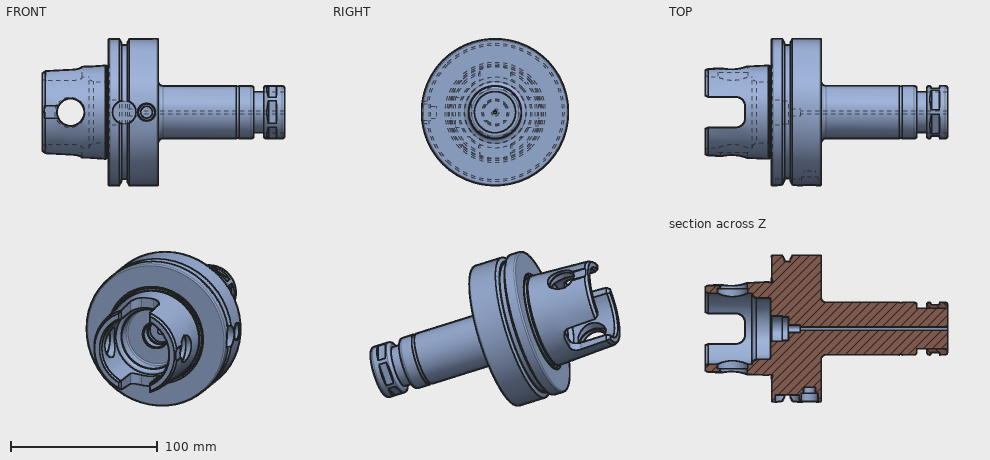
import cadquery as cq
import math


taper_length = 45.0
gauge_radius = 32.0
taper_slope = 1 / 20
taper_end_radius = gauge_radius - taper_slope * taper_length
nose_chamfer_length = 2.2
nose_chamfer_height = 1.1
root_land_width = 2.2
root_bevel = 1.0
root_radius = 31.5
relief_mouth_radius = 34.2
relief_floor_radius = 32.9
relief_depth = 0.6

flange_radius = 50.0
flange_length = 34.0
flange_edge_fillet = 1.0
groove_floor_radius = 45.8
groove_floor_start = 9.0
groove_floor_end = 12.7
groove_wall_radius = 47.0
groove_slant = 1.6

shank_radius = 18.0
shank_root_fillet = 3.0
shank_end = 99.0
shank_end_fillet = 2.0
ring_groove_start = 87.0
ring_groove_width = 2.0
ring_groove_depth = 0.3
neck_radius = 14.0
part_end = 120.0

mouth_radius = 25.1
bore_radius = 24.1
mouth_chamfer_length = 2.0
bore_end = -13.2
lip_fillet = 2.9
lip_step = 0.4
inner_bore_radius = bore_radius - lip_fillet - lip_step
cavity_floor = -0.5
cavity_fillet = 1.0

thread_mouth_diameter = 18.5
thread_diameter = 17.0
thread_depth = 8.0
tube_seat_diameter = 15.8
tube_seat_depth = 12.0
feed_diameter = 5.0
feed_depth = 20.0
jet_diameter = 2.0

slot_width = 20.5
slot_depth = 27.0
slot_corner_radius = 6.0
slot_mouth_chamfer_width = 1.0
slot_mouth_chamfer_length = 2.4

access_diameter = 18.5
access_x = -25.7
access_inner_diameter = 20.5
access_inner_x = -26.4
access_step_y = 27.2
marker_width = 8.5
marker_floor_y = 29.3

seat_diameter = 16.0
seat_x = 10.8
seat_floor_y = 45.2
screw_mouth_diameter = 12.0
screw_diameter = 11.2
screw_tip_diameter = 8.0
screw_x = 26.0
screw_depth = 6.0
screw_tip_depth = 10.0

nut_start = 105.6
nut_radius = 18.0
nut_fillet = 2.0
nut_flat_count = 6
nut_flat_distance = 16.3
nut_flat_start = 109.0
nut_flat_end = 114.2
nut_flat_start_slant = 1.2
nut_flat_end_slant = 0.4


def turned(profile):
    """Revolve a closed (x, radius) profile about the X axis."""
    return profile.close().revolve(360, (0, 0, 0), (1, 0, 0))


def cylinder_x(diameter, start, end):
    """Cylinder on the X axis between two X places."""
    return cq.Workplane("YZ", origin=(start, 0, 0)).circle(diameter / 2).extrude(end - start)


def cylinder_y(diameter, x, start, end):
    """Cylinder along Y at the given X, from a Y place to a lower one."""
    return cq.Workplane("XZ", origin=(x, start, 0)).circle(diameter / 2).extrude(start - end)


def holder_blank():
    taper = (
        cq.Workplane("XY")
        .moveTo(-taper_length, 0)
        .lineTo(-taper_length, taper_end_radius - nose_chamfer_height)
        .lineTo(-taper_length + nose_chamfer_length, taper_end_radius + taper_slope * nose_chamfer_length)
        .lineTo(-root_land_width, gauge_radius - taper_slope * root_land_width)
        .lineTo(-root_land_width + root_bevel, root_radius)
        .lineTo(relief_depth, root_radius)
        .lineTo(relief_depth, 0)
    )
    flange = (
        cq.Workplane("XY")
        .lineTo(0, flange_radius)
        .lineTo(groove_floor_start - groove_slant, flange_radius)
        .lineTo(groove_floor_start, groove_wall_radius)
        .lineTo(groove_floor_start, groove_floor_radius)
        .lineTo(groove_floor_end, groove_floor_radius)
        .lineTo(groove_floor_end, groove_wall_radius)
        .lineTo(groove_floor_end + groove_slant, flange_radius)
        .lineTo(flange_length, flange_radius)
        .lineTo(flange_length, 0)
    )
    relief = (
        cq.Workplane("XY")
        .lineTo(0, relief_mouth_radius)
        .lineTo(relief_depth, relief_floor_radius)
        .lineTo(relief_depth, 0)
    )
    flange = turned(flange).faces("<X or >X").edges().fillet(flange_edge_fillet).cut(turned(relief))
    return flange.union(turned(taper)).union(shank())


def shank():
    fillet_edge = flange_length + shank_root_fillet
    ring_floor = shank_radius - ring_groove_depth
    ring_groove_end = ring_groove_start + ring_groove_width
    profile = (
        cq.Workplane("XY")
        .moveTo(flange_length, 0)
        .lineTo(flange_length, shank_radius + shank_root_fillet)
        .radiusArc((fillet_edge, shank_radius), -shank_root_fillet)
        .lineTo(ring_groove_start, shank_radius)
        .lineTo(ring_groove_start, ring_floor)
        .lineTo(ring_groove_end, ring_floor)
        .lineTo(ring_groove_end, shank_radius)
        .lineTo(shank_end - shank_end_fillet, shank_radius)
        .radiusArc((shank_end, shank_radius - shank_end_fillet), shank_end_fillet)
        .lineTo(shank_end, neck_radius)
        .lineTo(part_end, neck_radius)
        .lineTo(part_end, 0)
    )
    return turned(profile)


def clamping_cavity():
    lip_end = bore_end + lip_fillet
    profile = (
        cq.Workplane("XY")
        .moveTo(-taper_length, 0)
        .lineTo(-taper_length, mouth_radius)
        .lineTo(-taper_length + mouth_chamfer_length, bore_radius)
        .lineTo(bore_end, bore_radius)
        .radiusArc((lip_end, bore_radius - lip_fillet), -lip_fillet)
        .lineTo(lip_end, inner_bore_radius)
        .lineTo(cavity_floor - cavity_fillet, inner_bore_radius)
        .radiusArc((cavity_floor, inner_bore_radius - cavity_fillet), cavity_fillet)
        .lineTo(cavity_floor, 0)
    )
    return turned(profile)


def coolant_bore():
    chamfer = (thread_mouth_diameter - thread_diameter) / 2
    thread_end = cavity_floor + thread_depth
    seat_end = cavity_floor + tube_seat_depth
    feed_end = cavity_floor + feed_depth
    profile = (
        cq.Workplane("XY")
        .moveTo(cavity_floor, 0)
        .lineTo(cavity_floor, thread_mouth_diameter / 2)
        .lineTo(cavity_floor + chamfer, thread_diameter / 2)
        .lineTo(thread_end, thread_diameter / 2)
        .lineTo(thread_end, tube_seat_diameter / 2)
        .lineTo(seat_end, tube_seat_diameter / 2)
        .lineTo(seat_end, feed_diameter / 2)
        .lineTo(feed_end, feed_diameter / 2)
        .lineTo(feed_end, jet_diameter / 2)
        .lineTo(part_end, jet_diameter / 2)
        .lineTo(part_end, 0)
    )
    return turned(profile)


def drive_slots():
    half_width = slot_width / 2
    slot_end = -taper_length + slot_depth
    corner_start = slot_end - slot_corner_radius
    outline = (
        cq.Workplane("XY", origin=(0, 0, -gauge_radius))
        .moveTo(-taper_length, half_width + slot_mouth_chamfer_width)
        .lineTo(-taper_length + slot_mouth_chamfer_length, half_width)
        .lineTo(corner_start, half_width)
        .radiusArc((slot_end, half_width - slot_corner_radius), slot_corner_radius)
        .lineTo(slot_end, slot_corner_radius - half_width)
        .radiusArc((corner_start, -half_width), slot_corner_radius)
        .lineTo(-taper_length + slot_mouth_chamfer_length, -half_width)
        .lineTo(-taper_length, -half_width - slot_mouth_chamfer_width)
        .close()
    )
    return outline.extrude(2 * gauge_radius)


def access_holes():
    outer = cylinder_y(access_diameter, access_x, gauge_radius, -gauge_radius)
    return outer.union(cylinder_y(access_inner_diameter, access_inner_x, access_step_y, -access_step_y))


def marker_groove(side):
    """Shallow groove from the nose to the access hole; side is +1 or -1 along Y."""
    depth = gauge_radius - marker_floor_y
    center_x = (access_x - taper_length) / 2
    center_y = side * (marker_floor_y + depth / 2)
    return cq.Workplane("XY").box(access_x + taper_length, depth, marker_width).translate((center_x, center_y, 0))


def gripper_seat():
    return cylinder_y(seat_diameter, seat_x, -seat_floor_y, -flange_radius)


def screw_hole():
    step = (screw_mouth_diameter - screw_diameter) / 2
    mouth_floor = -math.sqrt(flange_radius**2 - (screw_mouth_diameter / 2) ** 2) + step
    hole = cylinder_y(screw_mouth_diameter, screw_x, mouth_floor, -flange_radius)
    hole = hole.union(cylinder_y(screw_diameter, screw_x, -flange_radius + screw_depth, -flange_radius))
    return hole.union(cylinder_y(screw_tip_diameter, screw_x, -flange_radius + screw_tip_depth, -flange_radius))


def make_holder():
    body = holder_blank()
    for tool in (clamping_cavity(), coolant_bore(), drive_slots(), access_holes()):
        body = body.cut(tool)
    for side in (1, -1):
        body = body.cut(marker_groove(side))
    return body.cut(gripper_seat()).cut(screw_hole())


def nut_flat_cutter():
    """Trapezoid prism that leaves a wrench flat facing -Y."""
    depth = nut_radius - nut_flat_distance
    return (
        cq.Workplane("XY", origin=(0, 0, -nut_radius))
        .moveTo(nut_flat_start, -nut_flat_distance)
        .lineTo(nut_flat_start - nut_flat_start_slant, -nut_flat_distance - depth)
        .lineTo(nut_flat_end + nut_flat_end_slant, -nut_flat_distance - depth)
        .lineTo(nut_flat_end, -nut_flat_distance)
        .close()
        .extrude(2 * nut_radius)
    )


def make_nut():
    body = cylinder_x(2 * nut_radius, nut_start, part_end).edges().fillet(nut_fillet)
    cutter = nut_flat_cutter()
    for index in range(nut_flat_count):
        body = body.cut(cutter.rotate((0, 0, 0), (1, 0, 0), index * 360 / nut_flat_count))
    return body.cut(cylinder_x(2 * neck_radius, nut_start, part_end))


holder = make_holder()
nut = make_nut()
result = cq.Compound.makeCompound([holder.val(), nut.val()])